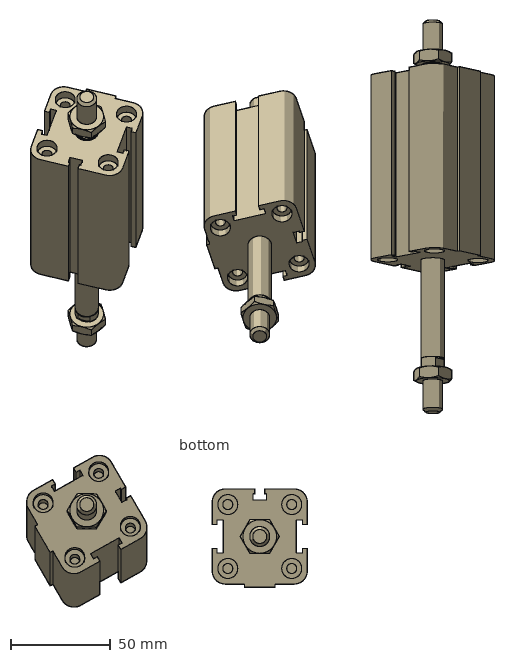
import cadquery as cq
import math


rod_length = 200.5
housing_length = 94.5
top_overhang = 28.0
housing_top = rod_length - top_overhang
housing_bottom = housing_top - housing_length

housing_width = 48.0
corner_radius = 6.8
half_width = housing_width / 2
rail_width = 15.5
rail_height = 1.6
lip_thickness = 2.6
slot_depth = 5.6
side_slot_mouth = 12.0
side_slot_width = 16.5
front_slot_mouth = 5.0
front_slot_width = 6.6

hole_spacing = 32.0
counterbore_diameter = 10.0
counterbore_depth = 2.5
hole_diameter = 5.0
hole_depth = 7.0

rod_diameter = 12.0
end_length = 27.5
collar_diameter = 11.6
thread_diameter = 10.0
thread_length = 22.7
tip_chamfer = 1.5
wrench_width = 9.6
wrench_setback = 0.6

nut_across_flats = 17.0
nut_thickness = 6.0
nut_setback = 16.0
nut_chamfer_angle = 30.0
nut_face_diameter = 16.8
nut_across_corners = nut_across_flats / math.cos(math.radians(30.0))


def housing_prism(width, depth, x, y):
    """Box over the full housing length, centred on (x, y)."""
    return (
        cq.Workplane("XY", origin=(x, y, housing_bottom))
        .rect(width, depth)
        .extrude(housing_length)
    )


def t_slot(mouth_width, inner_width, turn):
    """T-slot cut into the -Y face, turned about the Z axis by the given angle."""
    inner_depth = slot_depth - lip_thickness
    mouth = housing_prism(mouth_width, slot_depth, 0, slot_depth / 2 - half_width)
    inner = housing_prism(inner_width, inner_depth, 0, lip_thickness + inner_depth / 2 - half_width)
    return mouth.union(inner).rotate((0, 0, 0), (0, 0, 1), turn)


def mounting_holes(face_z, inward):
    """Four blind counterbored holes; inward is the Z direction into the housing."""
    face = cq.Workplane("XY", origin=(0, 0, face_z)).rect(hole_spacing, hole_spacing, forConstruction=True)
    counterbores = face.vertices().circle(counterbore_diameter / 2).extrude(inward * counterbore_depth)
    holes = face.vertices().circle(hole_diameter / 2).extrude(inward * hole_depth)
    return counterbores.union(holes)


def make_housing():
    body = housing_prism(housing_width, housing_width, 0, 0).edges("|Z").fillet(corner_radius)
    rail_root = half_width / 2
    rail_depth = half_width + rail_height - rail_root
    body = body.union(housing_prism(rail_width, rail_depth, 0, rail_root + rail_depth / 2))

    body = body.cut(t_slot(front_slot_mouth, front_slot_width, 0))
    for turn in (-90, 90):
        body = body.cut(t_slot(side_slot_mouth, side_slot_width, turn))

    body = body.cut(mounting_holes(housing_top, -2))
    body = body.cut(mounting_holes(housing_bottom, 2))

    bore_base = cq.Workplane("XY", origin=(0, 0, housing_bottom))
    rod_bore = bore_base.circle(rod_diameter / 2).extrude(housing_length)
    return body.cut(rod_bore)


def mirror_to_top(body):
    """Matching body at the upper end of the rod."""
    return body.mirror("XY", (0, 0, rod_length / 2))


def wrench_flats():
    """Material removed from the lower collar to leave two flats facing -Y and +Y."""
    flats_length = end_length - wrench_setback - thread_length
    blank = cq.Workplane("XY", origin=(0, 0, thread_length))
    keep = blank.rect(rod_diameter, wrench_width).extrude(flats_length)
    return blank.circle(rod_diameter).extrude(flats_length).cut(keep)


def make_rod():
    thread_radius = thread_diameter / 2
    collar_radius = collar_diameter / 2
    lower_half = (
        cq.Workplane("XZ")
        .moveTo(0, 0)
        .lineTo(thread_radius - tip_chamfer, 0)
        .lineTo(thread_radius, tip_chamfer)
        .lineTo(thread_radius, thread_length)
        .lineTo(collar_radius, thread_length)
        .lineTo(collar_radius, end_length)
        .lineTo(rod_diameter / 2, end_length)
        .lineTo(rod_diameter / 2, rod_length / 2)
        .lineTo(0, rod_length / 2)
        .close()
        .revolve(360, (0, 0, 0), (0, 1, 0))
        .cut(wrench_flats())
    )
    return lower_half.union(mirror_to_top(lower_half), clean=True)


def make_lower_nut():
    """Hexagon nut with corners on the X axis, both faces chamfered, on the lower thread."""
    face_radius = nut_face_diameter / 2
    corner_reach = nut_across_corners / 2
    chamfer_height = (corner_reach - face_radius) * math.tan(math.radians(nut_chamfer_angle))
    chamfered_blank = (
        cq.Workplane("XZ", origin=(0, 0, nut_setback))
        .moveTo(0, 0)
        .lineTo(face_radius, 0)
        .lineTo(corner_reach, chamfer_height)
        .lineTo(corner_reach, nut_thickness - chamfer_height)
        .lineTo(face_radius, nut_thickness)
        .lineTo(0, nut_thickness)
        .close()
        .revolve(360, (0, 0, 0), (0, 1, 0))
    )
    nut_base = cq.Workplane("XY", origin=(0, 0, nut_setback))
    hexagon = nut_base.polygon(6, nut_across_corners).extrude(nut_thickness)
    thread_bore = nut_base.circle(thread_diameter / 2).extrude(nut_thickness)
    return hexagon.intersect(chamfered_blank).cut(thread_bore)


housing = make_housing()
rod = make_rod()
lower_nut = make_lower_nut()
nuts = [lower_nut, mirror_to_top(lower_nut)]

result = cq.Compound.makeCompound([housing.val(), rod.val(), *[nut.val() for nut in nuts]])